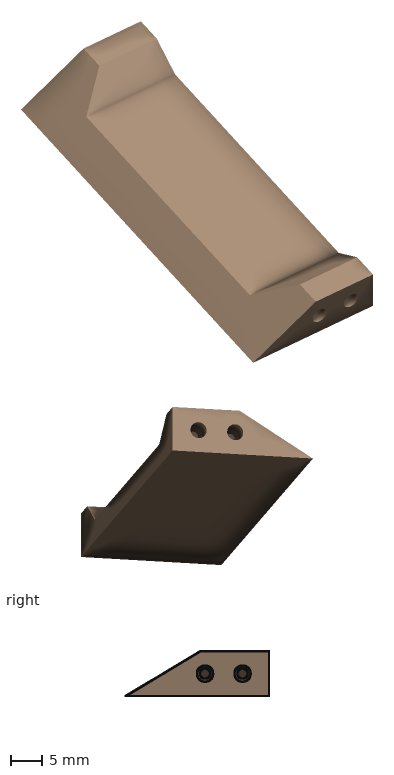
import cadquery as cq

length = 67.5
depth = 23.0
height = 7.2
top_depth = 11.0

floor_height = 3.6
end_top_width = 4.6
end_base_width = 10.0

hole_diameter = 2.6
hole_bottom_diameter = 1.6
hole_depth = 4.05
hole_taper_length = 1.0
hole_height = height / 2
hole_distances_from_back = (4.25, 10.25)

half_length = length / 2
back_y = depth / 2
front_y = -depth / 2


def wedge_bar():
    """Full-height bar with the sloped front running down to a sharp edge."""
    profile = [(front_y, 0), (back_y, 0), (back_y, height), (back_y - top_depth, height)]
    return cq.Workplane("YZ").polyline(profile).close().extrude(half_length, both=True)


def recess():
    """Trapezoidal cut through the full depth, leaving the two ends raised."""
    half_top = half_length - end_top_width
    half_floor = half_length - end_base_width
    profile = [
        (-half_floor, floor_height),
        (half_floor, floor_height),
        (half_top, height),
        (-half_top, height),
    ]
    return cq.Workplane("XZ").polyline(profile).close().extrude(back_y, both=True)


def end_hole(distance_from_back):
    """Hole entering the -X end: straight bore, then a short cone to a flat bottom."""
    radius = hole_diameter / 2
    bottom_radius = hole_bottom_diameter / 2
    center = cq.Vector(-half_length, back_y - distance_from_back, hole_height)
    inward = cq.Vector(1, 0, 0)
    bore_length = hole_depth - hole_taper_length
    bore = cq.Solid.makeCylinder(radius, bore_length, center, inward)
    cone_start = center + inward * bore_length
    cone = cq.Solid.makeCone(radius, bottom_radius, hole_taper_length, cone_start, inward)
    return cq.Workplane(bore.fuse(cone))


result = wedge_bar().cut(recess())
for distance in hole_distances_from_back:
    hole = end_hole(distance)
    result = result.cut(hole).cut(hole.mirror("YZ"))